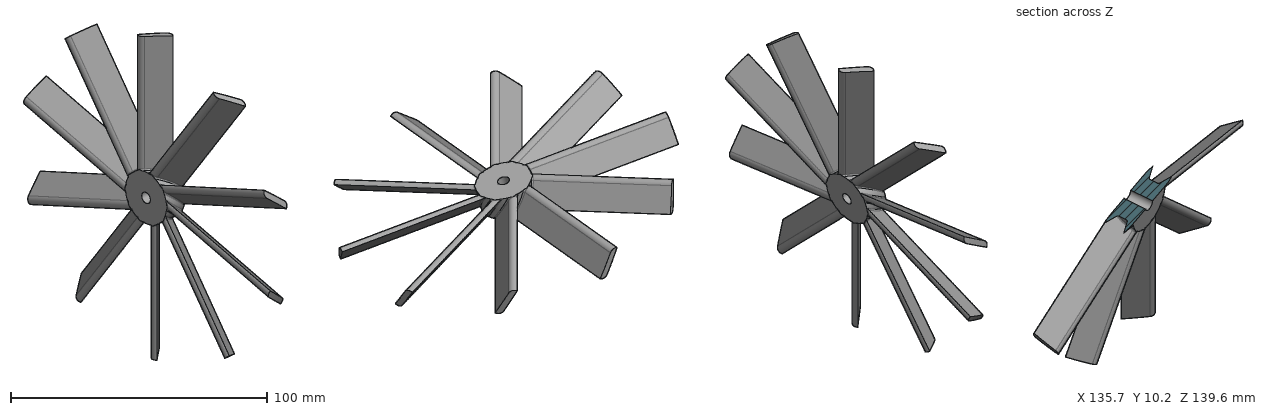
import cadquery as cq
import math

rotor_radius = 69.8
rotor_depth = 10.2
blade_count = 10

hub_radius = 11.3
bore_radius = 2.4

blade_pitch = 50.0
blade_chord = 13.8
blade_thickness = 2.5
root_fillet = 0.49

deep_hub_depth = 2 * rotor_depth
blade_start = 0.75 * hub_radius


def disc(radius, depth):
    """Disc about the Y axis, centred on the origin."""
    return cq.Workplane("XZ").circle(radius).extrude(depth / 2, both=True)


def blade_bar():
    """Blade along +Z, starting inside the hub and running past the rotor radius."""
    half_chord = blade_chord / 2
    half_thickness = blade_thickness / 2
    arc_centre = half_chord - blade_thickness
    diagonal = blade_thickness * math.sqrt(0.5)
    arc_middle = (arc_centre + diagonal, diagonal - half_thickness)
    section = (
        cq.Workplane("XY", origin=(0, 0, blade_start))
        .transformed(rotate=(0, 0, blade_pitch))
        .moveTo(-half_chord, half_thickness)
        .threePointArc((-arc_middle[0], -arc_middle[1]), (-arc_centre, -half_thickness))
        .lineTo(half_chord, -half_thickness)
        .threePointArc(arc_middle, (arc_centre, half_thickness))
        .close()
    )
    return section.extrude(rotor_radius)


def untrimmed_rotor():
    """Blades on an over-deep hub, so that the root fillets run all the way round each blade."""
    rotor = disc(hub_radius, deep_hub_depth)
    bar = blade_bar()
    for index in range(blade_count):
        rotor = rotor.union(bar.rotate((0, 0, 0), (0, 1, 0), index * 360 / blade_count))
    reach = hub_radius + root_fillet
    near_hub = cq.selectors.BoxSelector(
        (-reach, -rotor_depth / 2, -reach),
        (reach, rotor_depth / 2, reach),
    )
    return rotor.edges(near_hub).edges("not %LINE").fillet(root_fillet)


trimmed_rotor = untrimmed_rotor().intersect(disc(rotor_radius, rotor_depth))
result = trimmed_rotor.cut(disc(bore_radius, deep_hub_depth))